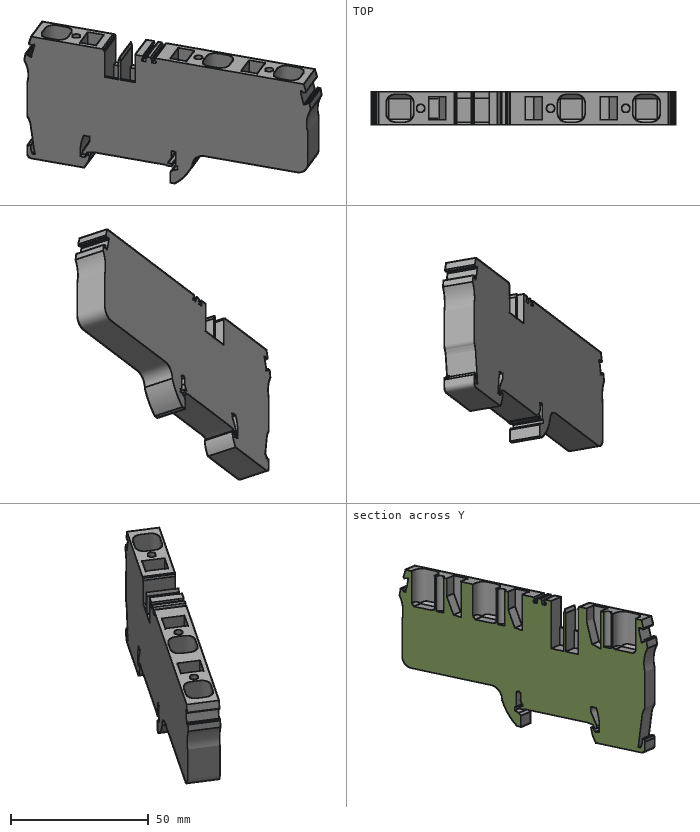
import cadquery as cq
import math

length = 110.3
width = 12.0
height = 50.5
mid_y = width / 2

side_inset = 1.1
shelf_z = 13.5
rail_z = 7.1
shoulder_radius = 4.2

gap_left = 31.0
gap_right = 42.7
gap_floor = 39.1
gap_lead_start = 30.0
gap_lead_bend = (30.7, 50.3)
gap_lead_bottom = 49.5
plate_left = 36.3
plate_right = 37.3
plate_top = 48.4
plate_shoulder = 47.0
gap_pocket_depth = 6.6
gap_front_ledge = 0.9
gap_back_ledge = 2.3

groove_center_x = 48.0
groove_depth = 2.1

pocket_depth = 13.2
entry_size = 10.0
entry_radius = 3.3
entry_seat_x = 7.9
entry_seat_front = 2.1
entry_seat_back = 9.4
funnel_rise = 3.3
steep_angle = 45.0
shallow_angle = 65.0
test_hole_diameter = 3.0
test_hole_y = 6.0
slot_front = 1.8
slot_back = 10.2
slot_length = 6.2
slot_ramp_run = 2.4
left_ramp_angle = 17.5
right_ramp_angle = 7.3
left_wall_run = 2.4
left_wall_angle = 16.4
right_wall_run = 3.0
right_wall_angle = 24.7
recess_run = 3.1
recess_margin = 0.7

left_station = (10.4, 17.9, 20.9)
middle_station = (72.5, 65.0, 55.7)
station_pitch = 27.3
right_station = tuple(x + station_pitch for x in middle_station)

web_thickness = 0.9


def prism(points, front=0.0, back=width):
    """Closed XZ polygon extruded from y = front to y = back."""
    return cq.Workplane("XZ", origin=(0, front, 0)).polyline(points).close().extrude(front - back)


def box(x0, x1, y0, y1, z0, z1):
    return cq.Workplane("XY").box(x1 - x0, y1 - y0, z1 - z0, centered=False).translate((x0, y0, z0))


wall_top = (side_inset, 31.1)
waist = (1.5, 34.8)
nose_low = (0.0, 40.3)
end_hook = [
    (0.4, 42.9),
    (0.9, 43.1),
    (1.2, 42.6),
    (1.5, 43.1),
    (1.9, 42.3),
    (2.6, 42.0),
    (3.9, 46.8),
    (3.8, 47.3),
    (2.1, 47.0),
    (1.8, 47.6),
    (2.6, height),
]


def mirrored(point):
    return (length - point[0], point[1])


def housing():
    """Side outline of the housing, without the gap and the grooves."""
    outline = (
        cq.Workplane("XZ")
        .moveTo(23.1, 0)
        .lineTo(3.1, 0)
        .threePointArc((1.7, 0.5), (side_inset, 2.0))
        .lineTo(side_inset, 4.5)
        .lineTo(1.2, 4.9)
        .lineTo(1.3, 5.4)
        .lineTo(2.4, 5.4)
        .lineTo(2.6, 3.5)
        .lineTo(3.2, 2.0)
        .lineTo(4.1, 2.0)
        .lineTo(2.3, 14.6)
        .lineTo(2.1, 15.3)
        .lineTo(1.7, 16.4)
        .threePointArc((1.2, 17.2), (side_inset, 18.1))
        .lineTo(*wall_top)
        .threePointArc(waist, nose_low)
    )
    for point in end_hook:
        outline = outline.lineTo(*point)
    for point in reversed(end_hook):
        outline = outline.lineTo(*mirrored(point))
    arc_offset = shoulder_radius * (1 - math.sqrt(0.5))
    right_wall = length - side_inset
    outline = (
        outline.lineTo(*mirrored(nose_low))
        .threePointArc(mirrored(waist), mirrored(wall_top))
        .lineTo(right_wall, shelf_z + shoulder_radius)
        .threePointArc(
            (right_wall - arc_offset, shelf_z + arc_offset),
            (right_wall - shoulder_radius, shelf_z),
        )
        .lineTo(69.3, shelf_z)
        .threePointArc((66.0, 11.9), (64.8, 8.7))
        .threePointArc((61.9, 3.8), (58.0, 0))
        .lineTo(56.3, 0)
        .lineTo(56.3, 4.4)
        .lineTo(57.2, 5.3)
        .lineTo(59.0, 6.0)
        .lineTo(59.0, 7.2)
        .lineTo(58.4, 7.3)
        .lineTo(58.4, 12.8)
        .threePointArc((57.5, 13.4), (56.6, 12.8))
        .lineTo(56.6, 10.3)
        .lineTo(56.0, 8.9)
        .lineTo(55.4, 8.2)
        .lineTo(56.8, 7.8)
        .lineTo(56.8, 6.8)
        .lineTo(55.0, 6.8)
        .lineTo(54.6, rail_z)
        .lineTo(26.7, rail_z)
        .lineTo(24.8, 6.7)
        .lineTo(24.3, 6.5)
        .lineTo(23.8, 5.7)
        .lineTo(23.2, 5.4)
        .lineTo(22.4, 5.7)
        .lineTo(22.5, 6.7)
        .lineTo(24.5, 10.4)
        .threePointArc((25.2, 11.8), (25.0, 13.4))
        .lineTo(23.0, 13.4)
        .threePointArc((22.0, 10.3), (21.6, 7.4))
        .lineTo(21.6, 4.5)
        .lineTo(23.2, 4.3)
        .lineTo(24.3, 5.5)
        .lineTo(25.3, 5.5)
        .threePointArc((24.5, 2.5), (23.1, 0))
        .close()
    )
    return outline.extrude(-width)


def bridge_gap():
    """Gap with lead-in, leaving the contact plate and sinking a pocket on both sides of it."""
    plate_middle = (plate_left + plate_right) / 2
    gap = prism(
        [
            (gap_lead_start, height),
            gap_lead_bend,
            (gap_left, gap_lead_bottom),
            (gap_left, gap_floor),
            (plate_left, gap_floor),
            (plate_left, plate_shoulder),
            (plate_middle, plate_top),
            (plate_right, plate_shoulder),
            (plate_right, gap_floor),
            (gap_right, gap_floor),
            (gap_right, height),
        ]
    )
    for x0, x1 in ((gap_left, plate_left), (plate_right, gap_right)):
        gap = gap.union(
            box(
                x0,
                x1,
                gap_front_ledge,
                width - gap_back_ledge,
                gap_floor - gap_pocket_depth,
                gap_floor,
            )
        )
    return gap


def marker_groove(side):
    """One undercut groove; side is -1 for the left one and +1 for the right one."""
    section = [
        (0.7, height),
        (1.1, height - 0.8),
        (1.2, height - groove_depth),
        (2.5, height - groove_depth),
        (2.8, height - 1.5),
        (2.1, height - 0.8),
        (2.3, height),
    ]
    return prism([(groove_center_x + side * x, z) for x, z in section])


def wire_entry(center_x, facing):
    """Rounded square opening whose four walls funnel to a flat seat.

    The shallow funnel wall lies on the side given by facing (-1 or +1 in X).
    """
    floor_z = height - pocket_depth
    steep_run = funnel_rise * math.tan(math.radians(steep_angle))
    shallow_run = funnel_rise * math.tan(math.radians(shallow_angle))
    opening = (
        cq.Workplane("XY", origin=(center_x, mid_y, floor_z))
        .rect(entry_size, entry_size)
        .extrude(pocket_depth)
        .edges("|Z")
        .fillet(entry_radius)
    )
    seat_depth = entry_seat_back - entry_seat_front
    seat_mid_y = (entry_seat_front + entry_seat_back) / 2
    funnel = (
        cq.Workplane("XY", origin=(center_x, seat_mid_y, floor_z))
        .rect(entry_seat_x, seat_depth)
        .workplane(offset=funnel_rise)
        .center(facing * (shallow_run - steep_run) / 2, 0)
        .rect(entry_seat_x + steep_run + shallow_run, seat_depth + 2 * steep_run)
        .loft(ruled=True)
    )
    above = box(
        center_x - entry_size,
        center_x + entry_size,
        0,
        width,
        floor_z + funnel_rise,
        height,
    )
    return opening.intersect(funnel.union(above))


def test_hole(center_x):
    return (
        cq.Workplane("XY", origin=(center_x, test_hole_y, height))
        .circle(test_hole_diameter / 2)
        .extrude(-pocket_depth)
    )


def driver_slot(left_x, ramp_angle, wall_run, wall_angle):
    """Rectangular slot with a ramp at the left of its floor and a leaning right wall."""
    floor_z = height - pocket_depth
    ramp_drop = slot_ramp_run * math.tan(math.radians(ramp_angle))
    wall_rise = wall_run / math.tan(math.radians(wall_angle))
    right_x = left_x + slot_length
    return prism(
        [
            (left_x, height),
            (left_x, floor_z - ramp_drop),
            (left_x + slot_ramp_run, floor_z),
            (right_x - wall_run, floor_z),
            (right_x, floor_z + wall_rise),
            (right_x, height),
        ],
        slot_front,
        slot_back,
    )


def ramp_recess(left_x):
    """Recess parallel to the left slot's ramp, set in from both slot sides."""
    floor_z = height - pocket_depth
    drop = recess_run * math.tan(math.radians(left_ramp_angle))
    return prism(
        [(left_x, floor_z), (left_x, floor_z - drop), (left_x + recess_run, floor_z)],
        slot_front + recess_margin,
        slot_back - recess_margin,
    )


def foot_webs():
    """Thin webs at the back face, across the left foot channel and under the latch tongue."""
    back_face = width - web_thickness
    channel_web = prism(
        [(2.3, 5.5), (3.2, 6.5), (3.5, 6.8), (4.2, 1.9), (3.1, 1.9), (2.5, 3.5)],
        back_face,
    )
    latch_web = prism([(21.5, 5.6), (23.1, 5.6), (23.1, 4.9), (21.5, 4.9)], back_face)
    return channel_web.union(latch_web)


result = housing().union(foot_webs()).cut(bridge_gap())
for groove_side in (-1, 1):
    result = result.cut(marker_groove(groove_side))

entry_x, hole_x, slot_x = left_station
result = result.cut(wire_entry(entry_x, 1)).cut(test_hole(hole_x))
result = result.cut(driver_slot(slot_x, left_ramp_angle, left_wall_run, left_wall_angle))
result = result.cut(ramp_recess(slot_x))

for entry_x, hole_x, slot_x in (middle_station, right_station):
    result = result.cut(wire_entry(entry_x, -1)).cut(test_hole(hole_x))
    result = result.cut(driver_slot(slot_x, right_ramp_angle, right_wall_run, right_wall_angle))